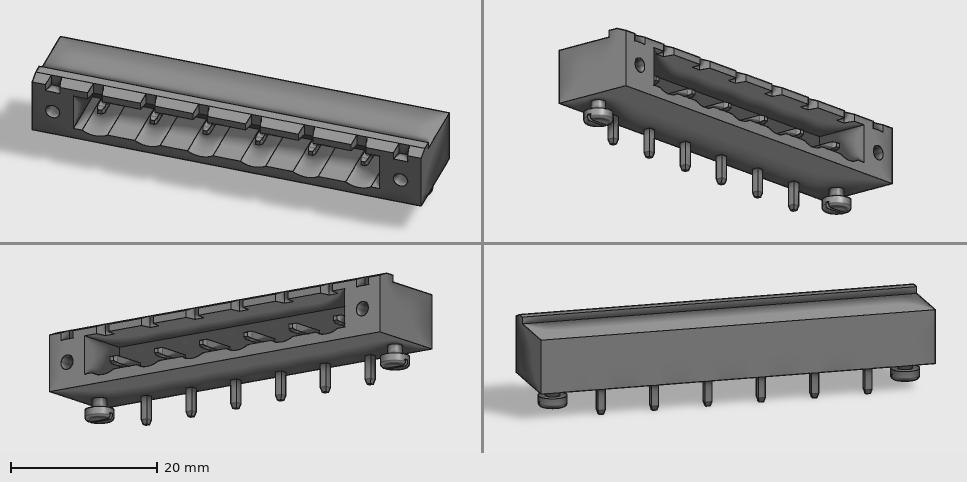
import cadquery as cq
import math

LENGTH = 56.3
DEPTH = 12.0
TOP_Z = 8.6
ROOF_Z = 7.65
RIB_DEPTH = 3.05
BEVEL_DEPTH = 1.6
BEVEL_DROP = 0.6

PIN_COUNT = 6
PIN_ROW = 38.1
PITCH = PIN_ROW / (PIN_COUNT - 1)
PIN_WIDTH = 1.0
PIN_END_WIDTH = 0.6
PIN_TAPER_LENGTH = 0.7
PIN_BOTTOM_Z = -4.0
PIN_Z = 3.7
PIN_Y = 10.0
PIN_FRONT_Y = 2.0

POCKET_WIDTH = 44.3
POCKET_FLOOR_Z = 1.6
POCKET_CEILING_Z = 7.0
POCKET_DEPTH = 8.0
SCALLOP_WIDTH = 3.65
SCALLOP_SAG = 0.5

NOTCH_FRONT_WIDTH = 2.1
NOTCH_BACK_WIDTH = 1.45

FLANGE_X = 25.15
HOLE_DIAMETER = 2.0
HOLE_DEPTH = 5.0
HOLE_Z = 3.7
SCREW_Y = 7.5
SHANK_DIAMETER = 2.0
HEAD_DIAMETER = 4.0
HEAD_TOP_Z = -1.5
HEAD_BOTTOM_Z = -3.05
HEAD_ROUND = 0.5
SLOT_WIDTH = 0.5
SLOT_DEPTH = 0.8

pin_xs = [i * PITCH - PIN_ROW / 2 for i in range(PIN_COUNT)]
flange_xs = [-FLANGE_X, FLANGE_X]


def make_housing():
    profile = [
        (0, 0),
        (DEPTH, 0),
        (DEPTH, ROOF_Z),
        (RIB_DEPTH, ROOF_Z),
        (RIB_DEPTH, TOP_Z),
        (BEVEL_DEPTH, TOP_Z),
        (0, TOP_Z - BEVEL_DROP),
    ]
    return cq.Workplane("YZ").polyline(profile).close().extrude(LENGTH / 2, both=True)


def make_pocket():
    half_width = POCKET_WIDTH / 2
    outline = cq.Workplane("XZ").moveTo(-half_width, POCKET_FLOOR_Z)
    for x in pin_xs:
        outline = outline.lineTo(x - SCALLOP_WIDTH / 2, POCKET_FLOOR_Z).threePointArc(
            (x, POCKET_FLOOR_Z - SCALLOP_SAG),
            (x + SCALLOP_WIDTH / 2, POCKET_FLOOR_Z),
        )
    outline = (
        outline.lineTo(half_width, POCKET_FLOOR_Z)
        .lineTo(half_width, POCKET_CEILING_Z)
        .lineTo(-half_width, POCKET_CEILING_Z)
        .close()
    )
    return outline.extrude(-POCKET_DEPTH)


def make_notch(x):
    outline = [
        (x - NOTCH_FRONT_WIDTH / 2, 0),
        (x + NOTCH_FRONT_WIDTH / 2, 0),
        (x + NOTCH_BACK_WIDTH / 2, BEVEL_DEPTH),
        (x - NOTCH_BACK_WIDTH / 2, BEVEL_DEPTH),
    ]
    floor = cq.Workplane("XY").workplane(offset=POCKET_CEILING_Z)
    return floor.polyline(outline).close().extrude(TOP_Z - POCKET_CEILING_Z)


def make_leg(start_face, length):
    """Square leg growing from a workplane, with a tapered end."""
    taper = math.degrees(math.atan((PIN_WIDTH - PIN_END_WIDTH) / 2 / PIN_TAPER_LENGTH))
    shaft = start_face.rect(PIN_WIDTH, PIN_WIDTH).extrude(length - PIN_TAPER_LENGTH)
    tip = shaft.faces(cq.selectors.DirectionMinMaxSelector(start_face.plane.zDir)).workplane()
    return tip.rect(PIN_WIDTH, PIN_WIDTH).extrude(PIN_TAPER_LENGTH, taper=taper)


def make_pin(x):
    """Right-angle contact: mating leg to the front, solder leg down."""
    bend_back_y = PIN_Y + PIN_WIDTH / 2
    bend_top_z = PIN_Z + PIN_WIDTH / 2
    mating_start = cq.Workplane("XZ", origin=(x, bend_back_y, PIN_Z))
    solder_start = cq.Workplane("XY", origin=(x, PIN_Y, bend_top_z)).transformed(rotate=(180, 0, 0))
    mating_leg = make_leg(mating_start, bend_back_y - PIN_FRONT_Y)
    solder_leg = make_leg(solder_start, bend_top_z - PIN_BOTTOM_Z)
    return mating_leg.union(solder_leg)


def make_flange_hole(x):
    face = cq.Workplane("XZ", origin=(x, 0, HOLE_Z))
    return face.circle(HOLE_DIAMETER / 2).extrude(-HOLE_DEPTH)


def make_screw(x):
    """Slotted screw hanging below the housing, its slot running along X."""
    underside = cq.Workplane("XY", origin=(x, SCREW_Y, 0))
    shank = underside.circle(SHANK_DIAMETER / 2).extrude(HEAD_TOP_Z)
    head = (
        underside.workplane(offset=HEAD_BOTTOM_Z)
        .circle(HEAD_DIAMETER / 2)
        .extrude(HEAD_TOP_Z - HEAD_BOTTOM_Z)
        .faces("<Z")
        .fillet(HEAD_ROUND)
    )
    slot = (
        underside.workplane(offset=HEAD_BOTTOM_Z)
        .rect(HEAD_DIAMETER, SLOT_WIDTH)
        .extrude(SLOT_DEPTH)
    )
    return shank.union(head.cut(slot))


result = make_housing().cut(make_pocket())

for notch_x in pin_xs + flange_xs:
    result = result.cut(make_notch(notch_x))

for pin_x in pin_xs:
    result = result.union(make_pin(pin_x))

for flange_x in flange_xs:
    result = result.cut(make_flange_hole(flange_x)).union(make_screw(flange_x))